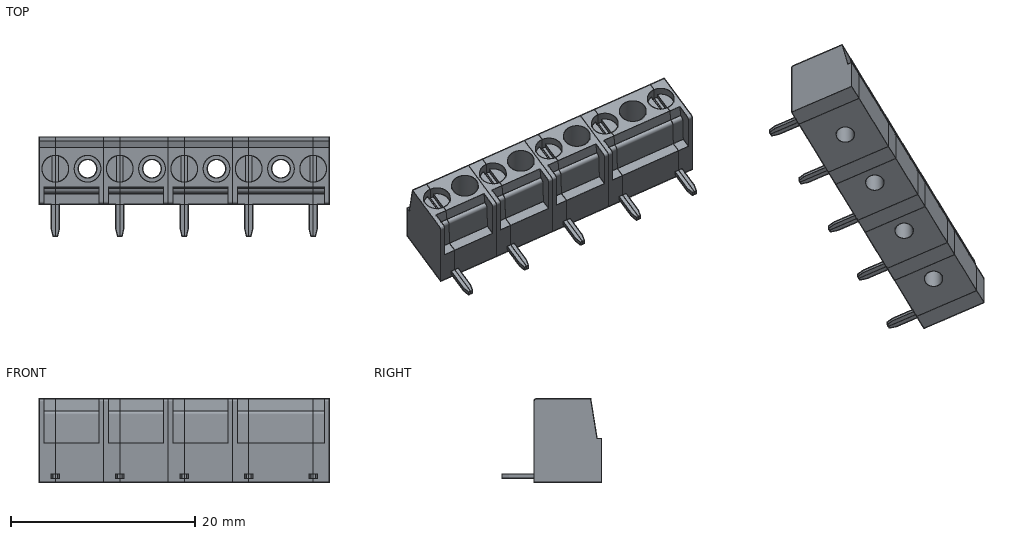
import cadquery as cq


STRIP_LENGTH = 31.5
MODULES = 4
PITCH = STRIP_LENGTH / (MODULES + 0.5)
POLE_OFFSET = PITCH / 4

HEIGHT = 9.1
DEPTH = 7.35
LEDGE_HEIGHT = 4.8
LEDGE_WIDTH = 0.47
BACK_TOP_INSET = 1.15
TOP_FILLET = 0.3

WALL = 0.5
RECESS_FLOOR_Z = 4.28
RECESS_FLOOR_Y = 1.13
BEAD_Y = 1.23
BEAD_TOP_Z = 7.75
BEAD_RADIUS = 0.38
SHOULDER_Y = 1.7
SHOULDER_Z = 7.78
RECESS_TOP_Y = 1.9

HOLE_Y = 3.87
BORE_DIAMETER = 2.9
WIRE_DIAMETER = 2.0
BORE_DEPTH = HEIGHT / 2
SCREW_DEPTH = 1.0
SLOT_WIDTH = 0.72
SLOT_DEPTH = 0.5

PIN_LENGTH = 3.45
PIN_WIDTH = 0.88
PIN_TIP_WIDTH = 0.5
PIN_TAPER = 0.8
PIN_THICKNESS = 0.5
PIN_BOTTOM_Z = 0.45


def housing_slice(x_start, x_end):
    """Plain housing profile between two cutting planes."""
    return (
        cq.Workplane("YZ", origin=(x_start, 0, 0))
        .moveTo(0, 0)
        .lineTo(DEPTH, 0)
        .lineTo(DEPTH, LEDGE_HEIGHT)
        .lineTo(DEPTH - LEDGE_WIDTH, LEDGE_HEIGHT)
        .lineTo(DEPTH - BACK_TOP_INSET, HEIGHT)
        .lineTo(0, HEIGHT)
        .close()
        .extrude(x_end - x_start)
        .edges("|X and <Y and >Z")
        .fillet(TOP_FILLET)
    )


def front_recess(x_start, x_end):
    """Cutter for the recess above the front floor, with a rounded shoulder on its back wall."""
    return (
        cq.Workplane("YZ", origin=(x_start, 0, 0))
        .moveTo(0, RECESS_FLOOR_Z)
        .lineTo(RECESS_FLOOR_Y, RECESS_FLOOR_Z)
        .lineTo(BEAD_Y, BEAD_TOP_Z - BEAD_RADIUS)
        .radiusArc((BEAD_Y + BEAD_RADIUS, BEAD_TOP_Z), BEAD_RADIUS)
        .lineTo(SHOULDER_Y, SHOULDER_Z)
        .lineTo(RECESS_TOP_Y, HEIGHT)
        .lineTo(0, HEIGHT)
        .close()
        .extrude(x_end - x_start)
    )


def bore(x, diameter, depth):
    """Cutter for a round hole from the top face."""
    return cq.Workplane("XY", origin=(x, HOLE_Y, HEIGHT)).circle(diameter / 2).extrude(-depth)


def screw_seat(x):
    """Cutter for a pole: the bore down to the screw head and the slot across the head."""
    slot_bottom = SCREW_DEPTH + SLOT_DEPTH
    slot = (
        cq.Workplane("XY", origin=(x, HOLE_Y, HEIGHT))
        .rect(SLOT_WIDTH, BORE_DIAMETER)
        .extrude(-slot_bottom)
        .intersect(bore(x, BORE_DIAMETER, slot_bottom))
    )
    return bore(x, BORE_DIAMETER, SCREW_DEPTH).union(slot)


def wire_hole(x):
    """Cutter for a wire entry: a wide bore that narrows to a hole through the underside."""
    return bore(x, BORE_DIAMETER, BORE_DEPTH).union(bore(x, WIRE_DIAMETER, HEIGHT))


def half_pin(x, side):
    """Half of a tapered pin on the front face; side is -1 for left of the pole plane, 1 for right."""
    half_width = side * PIN_WIDTH / 2
    half_tip = side * PIN_TIP_WIDTH / 2
    return (
        cq.Workplane("XY", origin=(x, 0, PIN_BOTTOM_Z))
        .moveTo(0, 0)
        .lineTo(half_width, 0)
        .lineTo(half_width, PIN_TAPER - PIN_LENGTH)
        .lineTo(half_tip, -PIN_LENGTH)
        .lineTo(0, -PIN_LENGTH)
        .close()
        .extrude(PIN_THICKNESS)
    )


def left_slice(boundary):
    """From a module's left boundary to the middle of its pole."""
    pole = boundary + POLE_OFFSET
    return (
        housing_slice(boundary, pole)
        .cut(front_recess(boundary + WALL, pole))
        .cut(screw_seat(pole))
        .union(half_pin(pole, -1))
    )


def walled_wire_slice(pole):
    """From a pole past its wire hole to the module's right boundary."""
    boundary = pole + PITCH - POLE_OFFSET
    return (
        housing_slice(pole, boundary)
        .cut(front_recess(pole, boundary - WALL))
        .cut(screw_seat(pole))
        .cut(wire_hole(pole + PITCH / 2))
        .union(half_pin(pole, 1))
    )


def open_wire_slice(pole):
    """From a pole to the next one in the same module, with no wall between them."""
    next_pole = pole + PITCH
    return (
        housing_slice(pole, next_pole)
        .cut(front_recess(pole, next_pole))
        .cut(screw_seat(pole))
        .cut(screw_seat(next_pole))
        .cut(wire_hole(pole + PITCH / 2))
        .union(half_pin(pole, 1))
        .union(half_pin(next_pole, -1))
    )


def right_end_slice(pole):
    """From the middle of the last pole to the right end of the strip."""
    return (
        housing_slice(pole, STRIP_LENGTH)
        .cut(front_recess(pole, STRIP_LENGTH - WALL))
        .cut(screw_seat(pole))
        .union(half_pin(pole, 1))
    )


boundaries = [i * PITCH for i in range(MODULES)]
poles = [boundary + POLE_OFFSET for boundary in boundaries]

left_slices = [left_slice(boundary) for boundary in boundaries]
walled_wire_slices = [walled_wire_slice(pole) for pole in poles[:-1]]
open_wire = open_wire_slice(poles[-1])
right_end = right_end_slice(poles[-1] + PITCH)

result = cq.Compound.makeCompound([
    *[piece.val() for piece in left_slices],
    *[piece.val() for piece in walled_wire_slices],
    open_wire.val(),
    right_end.val(),
])